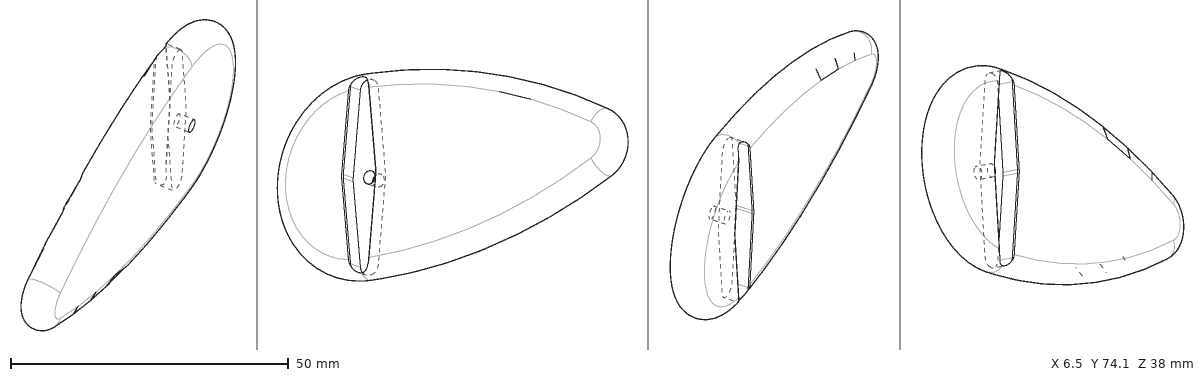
import cadquery as cq
import math

length = 74.1
width = 38.0
thickness = 6.5
head_radius = width / 2
tip_radius = 7.05
rim_radius = thickness / 2

recess_depth = 3.5
hub_radius = 3.5
arm_end_radius = 1.9
arm_tip_reach = 18.1
mouth_chamfer = 0.2
hole_diameter = 2.45

tip_y = -(length - head_radius - tip_radius)

side_radius = (tip_y**2 + head_radius**2 - tip_radius**2) / (2 * (head_radius - tip_radius))
side_center_z = head_radius - side_radius
side_sweep = math.asin(-tip_y / (side_radius - tip_radius))


def side_point(angle, inset):
    """Point on the upper side arc, at an angle from the widest point."""
    radius = side_radius - inset
    return (-radius * math.sin(angle), side_center_z + radius * math.cos(angle))


def mirrored(point):
    return (point[0], -point[1])


def teardrop(inset, x):
    """Closed teardrop wire inset from the outer edge, in the YZ plane at x."""
    top = (0, head_radius - inset)
    middle = side_point(side_sweep / 2, inset)
    end = side_point(side_sweep, inset)
    return (
        cq.Workplane("YZ", origin=(x, 0, 0))
        .moveTo(*top)
        .threePointArc(middle, end)
        .threePointArc((tip_y - tip_radius + inset, 0), mirrored(end))
        .threePointArc(mirrored(middle), mirrored(top))
        .threePointArc((head_radius - inset, 0), top)
        .close()
    )


def plate():
    """Flat core with a round rim swept along its edge."""
    core = teardrop(rim_radius, -thickness / 2).extrude(thickness)
    rim_path = teardrop(rim_radius, 0)
    rim = (
        cq.Workplane("XZ", origin=(0, 0, head_radius - rim_radius))
        .circle(rim_radius)
        .sweep(rim_path)
    )
    return core.union(rim)


def arm_outline(margin):
    """Hub tapering to a rounded end in both Z directions, widened by a margin."""
    hub = hub_radius + margin
    end = arm_end_radius + margin
    tip_z = arm_tip_reach + margin
    end_z = tip_z - end
    taper = math.asin((hub - end) / end_z)
    hub_y = hub * math.cos(taper)
    hub_z = hub * math.sin(taper)
    end_y = end * math.cos(taper)
    touch_z = end_z + end * math.sin(taper)
    return (
        cq.Workplane("YZ", origin=(-thickness / 2, 0, 0))
        .moveTo(hub_y, hub_z)
        .lineTo(end_y, touch_z)
        .threePointArc((0, tip_z), (-end_y, touch_z))
        .lineTo(-hub_y, hub_z)
        .threePointArc((-hub, 0), (-hub_y, -hub_z))
        .lineTo(-end_y, -touch_z)
        .threePointArc((0, -tip_z), (end_y, -touch_z))
        .lineTo(hub_y, -hub_z)
        .threePointArc((hub, 0), (hub_y, hub_z))
        .close()
    )


def arm_recess():
    """Straight-walled recess with a 45 degree chamfer at its mouth."""
    pocket = arm_outline(0).extrude(recess_depth)
    mouth = arm_outline(mouth_chamfer).extrude(mouth_chamfer, taper=45)
    return pocket.union(mouth)


def hub_hole():
    return (
        cq.Workplane("YZ", origin=(-thickness / 2, 0, 0))
        .circle(hole_diameter / 2)
        .extrude(thickness)
    )


result = plate().cut(arm_recess()).cut(hub_hole())